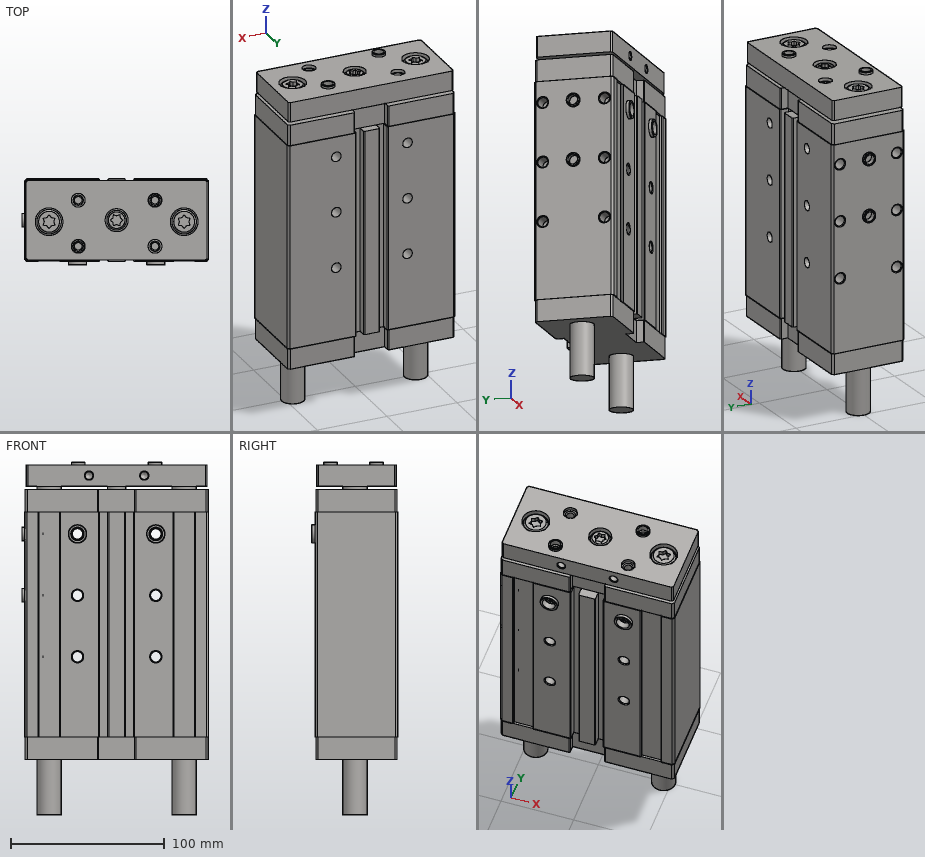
import cadquery as cq
import math

HOUSING_HEIGHT = 176.0
CAP_HEIGHT = 14.7
YOKE_GAP = 2.0
YOKE_HEIGHT = 14.0
ROD_OVERHANG = 36.0
PROFILE_TOP = HOUSING_HEIGHT - CAP_HEIGHT
YOKE_BOTTOM = HOUSING_HEIGHT + YOKE_GAP
YOKE_TOP = YOKE_BOTTOM + YOKE_HEIGHT

PROFILE_X, PROFILE_Y = 120.0, 54.0
CAP_X, CAP_Y = 119.4, 53.0
YOKE_X, YOKE_Y = 118.0, 52.0
HOUSING_CHAMFER = 1.5
YOKE_CHAMFER = 1.2

CHANNEL_DEPTH = 6.0
PROFILE_CHANNEL_WIDTH = 22.0
CAP_CHANNEL_WIDTH = 23.6
RIB_WIDTH = 11.6
SLOT_DEPTH = 2.0
SLOT_WIDTH = 13.3
SLOT_X = 44.0
CHANNEL_LIP = 0.7

ROD_DIAMETER = 16.0
ROD_X = 44.0
ROD_Y = -1.0
PISTON_ROD_DIAMETER = 12.0
ROD_SCREW = dict(bore=18.0, head=16.0, head_chamfer=1.2, star=8.8, turn=0)
PISTON_SCREW = dict(bore=15.0, head=12.8, head_chamfer=1.0, star=8.2, turn=30)
HEAD_RECESS = 1.0
SCREW_BORE_DEPTH = 4.0
STAR_DEPTH = 3.0
STAR_INNER_RATIO = 0.7
STAR_LOBES = 6

ROW_PITCH = 40.0
FIRST_ROW_DROP = 29.0
ROWS = [HOUSING_HEIGHT - FIRST_ROW_DROP - i * ROW_PITCH for i in range(3)]
FRONT_HOLE_X = 25.5
TAP_DIAMETER = 6.8
THREAD_DIAMETER = 8.0
THREAD_CHAMFER = (THREAD_DIAMETER - TAP_DIAMETER) / 2
SIDE_HOLE_Y = 21.0
SIDE_HOLE_DEPTH = 12.0
YOKE_SIDE_HOLE_X = 18.0
YOKE_SIDE_HOLE_DIAMETER = 5.0
YOKE_SIDE_THREAD_DIAMETER = 6.0
YOKE_SIDE_HOLE_DEPTH = 10.0
YOKE_SLEEVE_X = 25.0
YOKE_SLEEVE_YS = (-17.0, 13.0)
YOKE_HOLE_DIAMETER = 4.92
YOKE_THREAD_DIAMETER = 6.6
YOKE_THREAD_CHAMFER = (YOKE_THREAD_DIAMETER - YOKE_HOLE_DIAMETER) / 2
DRILL_TIP_ANGLE = 118.0

SLEEVE_SEAT = 2.2
SLEEVE_CHAMFER = 0.3
SMALL_SLEEVE = dict(outer=9.0, inner=6.6, proud=1.8)
LARGE_SLEEVE = dict(outer=12.0, inner=8.8, proud=2.3)


def disc(diameter, length, origin, direction):
    """Cylinder that starts at origin and runs along direction."""
    return cq.Workplane(
        cq.Solid.makeCylinder(diameter / 2, length, cq.Vector(*origin), cq.Vector(*direction))
    )


def cone(start, end, length, origin, direction):
    """Cone whose diameter goes from start to end along direction."""
    return cq.Workplane(
        cq.Solid.makeCone(start / 2, end / 2, length, cq.Vector(*origin), cq.Vector(*direction))
    )


def block(size_x, size_y, height, base, chamfer):
    """Upright block on the axis, with chamfered vertical edges."""
    return (
        cq.Workplane("XY", origin=(0, 0, base))
        .rect(size_x, size_y)
        .extrude(height)
        .edges("|Z")
        .chamfer(chamfer)
    )


def drilled_hole(diameter, thread, depth, origin, direction):
    """Blind hole with a countersunk mouth and a conical drill tip."""
    sink = (thread - diameter) / 2
    tip = tuple(o + d * depth for o, d in zip(origin, direction))
    hole = disc(diameter, depth, origin, direction)
    hole = hole.union(cone(thread, diameter, sink, origin, direction))
    tip_height = diameter / 2 / math.tan(math.radians(DRILL_TIP_ANGLE / 2))
    return hole.union(cone(diameter, 0, tip_height, tip, direction))


def sleeve(size, origin, inward):
    """Centring sleeve that sits in its seat and stands proud of the face."""
    start = tuple(o - d * size["proud"] for o, d in zip(origin, inward))
    length = size["proud"] + SLEEVE_SEAT
    ring = disc(size["outer"], length, start, inward)
    proud_end = cq.DirectionMinMaxSelector(cq.Vector(*inward), False)
    ring = ring.faces(proud_end).chamfer(SLEEVE_CHAMFER)
    return ring.cut(disc(size["inner"], length, start, inward))


def sleeve_seat(size, origin, inward):
    """Cutter for the recess that takes a sleeve."""
    return disc(size["outer"], SLEEVE_SEAT, origin, inward)


INTO_FRONT, INTO_SIDE = (0, 1, 0), (1, 0, 0)
UP, DOWN = (0, 0, 1), (0, 0, -1)
FRONT_FACE, SIDE_FACE = -PROFILE_Y / 2, -PROFILE_X / 2
FRONT_SLEEVES = [(x, FRONT_FACE, ROWS[0]) for x in (-FRONT_HOLE_X, FRONT_HOLE_X)]
SIDE_SLEEVES = [(SIDE_FACE, 0, z) for z in ROWS[:2]]
YOKE_SEATS = [(x, y, YOKE_TOP) for x in (-YOKE_SLEEVE_X, YOKE_SLEEVE_X) for y in YOKE_SLEEVE_YS]
YOKE_SLEEVES = [YOKE_SEATS[0], YOKE_SEATS[-1]]


def channel(width, size_y, side, base, height, depth, x=0):
    """Cutter for a lipped channel in the front (side -1) or rear (side +1) face."""
    face = side * size_y / 2
    half = width / 2
    mouth = half + CHANNEL_LIP
    floor_y = face - side * depth
    lip_y = face - side * CHANNEL_LIP
    return (
        cq.Workplane("XY", origin=(x, 0, base))
        .moveTo(-mouth, face)
        .lineTo(-half, lip_y)
        .lineTo(-half, floor_y)
        .lineTo(half, floor_y)
        .lineTo(half, lip_y)
        .lineTo(mouth, face)
        .close()
        .extrude(height)
    )


def bore_for_rods(body):
    """Cut the two guide rod bores through body."""
    for x in (-ROD_X, ROD_X):
        body = body.cut(disc(ROD_DIAMETER, HOUSING_HEIGHT, (x, ROD_Y, 0), UP))
    return body


def make_cap(base):
    """End cap of the housing, with a plain channel front and rear."""
    cap = block(CAP_X, CAP_Y, CAP_HEIGHT, base, HOUSING_CHAMFER)
    depth = CHANNEL_DEPTH - (PROFILE_Y - CAP_Y) / 2
    for side in (-1, 1):
        cap = cap.cut(channel(CAP_CHANNEL_WIDTH, CAP_Y, side, base, CAP_HEIGHT, depth))
    return bore_for_rods(cap)


def make_top_cap():
    """Upper end cap, which the piston rod also passes through."""
    return make_cap(PROFILE_TOP).cut(disc(PISTON_ROD_DIAMETER, CAP_HEIGHT, (0, 0, PROFILE_TOP), UP))


def make_profile():
    """Extruded bar with a central rib front and rear, and two sensor slots in front."""
    height = PROFILE_TOP - CAP_HEIGHT
    profile = block(PROFILE_X, PROFILE_Y, height, CAP_HEIGHT, HOUSING_CHAMFER)
    gap = (PROFILE_CHANNEL_WIDTH - RIB_WIDTH) / 2
    gap_x = (RIB_WIDTH + gap) / 2
    for side in (-1, 1):
        for x in (-gap_x, gap_x):
            profile = profile.cut(channel(gap, PROFILE_Y, side, CAP_HEIGHT, height, CHANNEL_DEPTH, x))
    for x in (-SLOT_X, SLOT_X):
        profile = profile.cut(channel(SLOT_WIDTH, PROFILE_Y, -1, CAP_HEIGHT, height, SLOT_DEPTH, x))
    return profile


def make_housing():
    """Profile with its rod bores, threaded holes and sleeve seats."""
    housing = bore_for_rods(make_profile())
    for row, z in enumerate(ROWS):
        seat_depth = SLEEVE_SEAT if row == 0 else 0
        for x in (-FRONT_HOLE_X, FRONT_HOLE_X):
            mouth = (x, FRONT_FACE, z)
            housing = housing.cut(disc(TAP_DIAMETER, PROFILE_Y, mouth, INTO_FRONT))
            thread_mouth = (x, FRONT_FACE + seat_depth, z)
            sink = cone(THREAD_DIAMETER, TAP_DIAMETER, THREAD_CHAMFER, thread_mouth, INTO_FRONT)
            housing = housing.cut(sink)
        for y in (-SIDE_HOLE_Y, SIDE_HOLE_Y):
            hole = drilled_hole(
                TAP_DIAMETER, THREAD_DIAMETER, SIDE_HOLE_DEPTH, (SIDE_FACE, y, z), INTO_SIDE
            )
            housing = housing.cut(hole)
    for place in FRONT_SLEEVES:
        housing = housing.cut(sleeve_seat(LARGE_SLEEVE, place, INTO_FRONT))
    for place in SIDE_SLEEVES:
        housing = housing.cut(sleeve_seat(SMALL_SLEEVE, place, INTO_SIDE))
    return housing


def star_points(diameter, turn):
    """Corners of a six-lobed star, tips and valleys in turn."""
    tip = diameter / 2
    valley = tip * STAR_INNER_RATIO
    radii = [tip, valley] * STAR_LOBES
    angles = [math.radians(turn) + i * math.pi / STAR_LOBES for i in range(len(radii))]
    return [(r * math.sin(a), r * math.cos(a)) for r, a in zip(radii, angles)]


def screw_recess(screw, x, y):
    """Cutter for the annular gap around a screw head, the space above it and its star socket."""
    head_top = YOKE_TOP - HEAD_RECESS
    bore = disc(screw["bore"], SCREW_BORE_DEPTH, (x, y, YOKE_TOP), DOWN)
    head = disc(screw["head"], SCREW_BORE_DEPTH, (x, y, head_top), DOWN)
    head = head.faces(">Z").chamfer(screw["head_chamfer"])
    star = (
        cq.Workplane("XY", origin=(x, y, head_top))
        .polyline(star_points(screw["star"], screw["turn"]))
        .close()
        .extrude(-STAR_DEPTH)
    )
    return bore.cut(head).union(star)


def make_yoke():
    """Yoke plate with its two guide rods and the piston rod."""
    yoke = block(YOKE_X, YOKE_Y, YOKE_HEIGHT, YOKE_BOTTOM, YOKE_CHAMFER)
    rod_length = ROD_OVERHANG + YOKE_BOTTOM
    for x in (-ROD_X, ROD_X):
        yoke = yoke.union(disc(ROD_DIAMETER, rod_length, (x, ROD_Y, -ROD_OVERHANG), UP))
        yoke = yoke.cut(screw_recess(ROD_SCREW, x, ROD_Y))
    piston_rod_length = YOKE_BOTTOM - PROFILE_TOP
    yoke = yoke.union(disc(PISTON_ROD_DIAMETER, piston_rod_length, (0, 0, PROFILE_TOP), UP))
    yoke = yoke.cut(screw_recess(PISTON_SCREW, 0, 0))
    for x in (-YOKE_SIDE_HOLE_X, YOKE_SIDE_HOLE_X):
        mouth = (x, -YOKE_Y / 2, YOKE_BOTTOM + YOKE_HEIGHT / 2)
        yoke = yoke.cut(
            drilled_hole(
                YOKE_SIDE_HOLE_DIAMETER, YOKE_SIDE_THREAD_DIAMETER, YOKE_SIDE_HOLE_DEPTH, mouth, INTO_FRONT
            )
        )
    for place in YOKE_SEATS:
        yoke = yoke.cut(sleeve_seat(SMALL_SLEEVE, place, DOWN))
        yoke = yoke.cut(disc(YOKE_HOLE_DIAMETER, YOKE_HEIGHT, place, DOWN))
        seat_floor = (place[0], place[1], YOKE_TOP - SLEEVE_SEAT)
        yoke = yoke.cut(cone(YOKE_THREAD_DIAMETER, YOKE_HOLE_DIAMETER, YOKE_THREAD_CHAMFER, seat_floor, DOWN))
    return yoke


housing = make_housing()
bottom_cap = make_cap(0)
top_cap = make_top_cap()
yoke = make_yoke()
sleeves = [sleeve(LARGE_SLEEVE, place, INTO_FRONT) for place in FRONT_SLEEVES]
sleeves += [sleeve(SMALL_SLEEVE, place, INTO_SIDE) for place in SIDE_SLEEVES]
sleeves += [sleeve(SMALL_SLEEVE, place, DOWN) for place in YOKE_SLEEVES]

result = cq.Compound.makeCompound(
    [housing.val(), bottom_cap.val(), top_cap.val(), yoke.val(), *[ring.val() for ring in sleeves]]
)